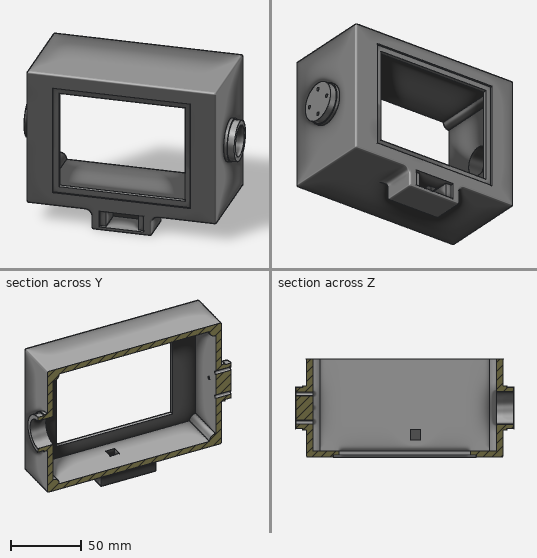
import cadquery as cq

width = 139.9
depth = 69.9
height = 102.0
wall = 5.0
front_wall = 4.5
edge_radius = 1.5

window_width = 93.1
window_height = 72.5
window_top_margin = 14.7
recess_width = 101.3
recess_height = 81.2
recess_top_margin = 10.5
recess_depth = 1.5

bead_radius = 5.0

total_width = 155.0
collar_diameter = 31.5
collar_length = 2.5
journal_diameter = 29.7
bore_diameter = 23.0
pin_hole_diameter = 2.5
pin_circle_diameter = 20.1
pin_hole_count = 4

total_height = 116.8
foot_width = 44.2
foot_depth = 25.7
foot_blend_radius = 5.0
foot_floor = 2.6
pocket_mouth_width = 32.7
pocket_mouth_depth = 2.5
pocket_width = 23.7
pocket_depth = foot_depth - wall

cable_hole_size = 7.1
cable_hole_x = 7.6
cable_hole_back = 19.5

front = -depth / 2
back = depth / 2
side = width / 2
top = height / 2
bottom = -height / 2
foot_bottom = top - total_height

pick_margin = 0.2


def block(x_size, y_start, y_end, z_start, z_end, x_centre=0):
    """Box centred on x_centre in X, between the given Y and Z limits."""
    box = cq.Workplane("XY").box(x_size, y_end - y_start, z_end - z_start, centered=(True, False, False))
    return box.translate((x_centre, y_start, z_start))


def rod_along_x(diameter, x_start, x_end):
    """Cylinder on the trunnion axis between two X positions."""
    return cq.Workplane("YZ", origin=(x_start, 0, 0)).circle(diameter / 2).extrude(x_end - x_start)


def make_outer_body():
    """Solid housing and foot, blended together, with rounded outer edges."""
    housing = block(width, front, back, bottom, top)
    foot = block(foot_width, front, front + foot_depth, foot_bottom, 0)
    foot_joint = cq.selectors.BoxSelector(
        (-foot_width / 2 - pick_margin, front + pick_margin, bottom - pick_margin),
        (foot_width / 2 + pick_margin, front + foot_depth + pick_margin, bottom + pick_margin),
    )
    body = housing.union(foot).edges(foot_joint).fillet(foot_blend_radius)

    housing_corners = cq.selectors.BoxSelector(
        (-side - pick_margin, -pick_margin, bottom - pick_margin),
        (side + pick_margin, pick_margin, top + pick_margin),
    )
    rounded_edges = body.edges("|Y").edges(housing_corners)
    rounded_edges = rounded_edges.add(body.faces("<Y").edges())
    rounded_edges = rounded_edges.add(body.faces("<Z").edges())
    return rounded_edges.fillet(edge_radius)


def make_cavity():
    """Inner space, open at the back, with a convex bead left in each corner."""
    x_corner = side - wall
    z_corner = top - wall
    cavity = block(2 * x_corner, front + front_wall, back, -z_corner, z_corner)
    corners = [(x, z) for x in (-x_corner, x_corner) for z in (-z_corner, z_corner)]
    beads = cq.Workplane("XZ", origin=(0, back, 0)).pushPoints(corners).circle(bead_radius).extrude(depth)
    return cavity.cut(beads)


def make_window():
    """Opening through the front wall and the recess around it."""
    opening_top = top - window_top_margin
    recess_top = top - recess_top_margin
    opening = block(window_width, front, front + front_wall, opening_top - window_height, opening_top)
    recess = block(recess_width, front, front + recess_depth, recess_top - recess_height, recess_top)
    return opening.union(recess)


def make_trunnion(direction):
    """Stepped round boss on one side; direction is -1 or 1 along X."""
    collar_end = side + collar_length
    collar = rod_along_x(collar_diameter, direction * (side - wall), direction * collar_end)
    journal = rod_along_x(journal_diameter, direction * side, direction * total_width / 2)
    return collar.union(journal)


def make_pin_holes():
    """Ring of pin holes through the left trunnion and wall."""
    plane = cq.Workplane("YZ", origin=(-total_width / 2, 0, 0))
    ring = plane.polarArray(pin_circle_diameter / 2, 0, 360, pin_hole_count)
    return ring.circle(pin_hole_diameter / 2).extrude(total_width / 2)


def make_foot_pocket():
    """Stepped pocket in the front of the foot and the cable hole above it."""
    pocket_bottom = foot_bottom + foot_floor
    mouth = block(pocket_mouth_width, front, front + pocket_mouth_depth, pocket_bottom, bottom)
    pocket = block(pocket_width, front, front + pocket_depth, pocket_bottom, bottom)
    hole_back = front + cable_hole_back
    cable_hole = block(
        cable_hole_size, hole_back - cable_hole_size, hole_back, bottom, bottom + wall, cable_hole_x
    )
    return mouth.union(pocket).union(cable_hole)


result = (
    make_outer_body()
    .cut(make_cavity())
    .cut(make_window())
    .union(make_trunnion(-1))
    .union(make_trunnion(1))
    .cut(make_pin_holes())
    .cut(rod_along_x(bore_diameter, 0, total_width / 2))
    .cut(make_foot_pocket())
)